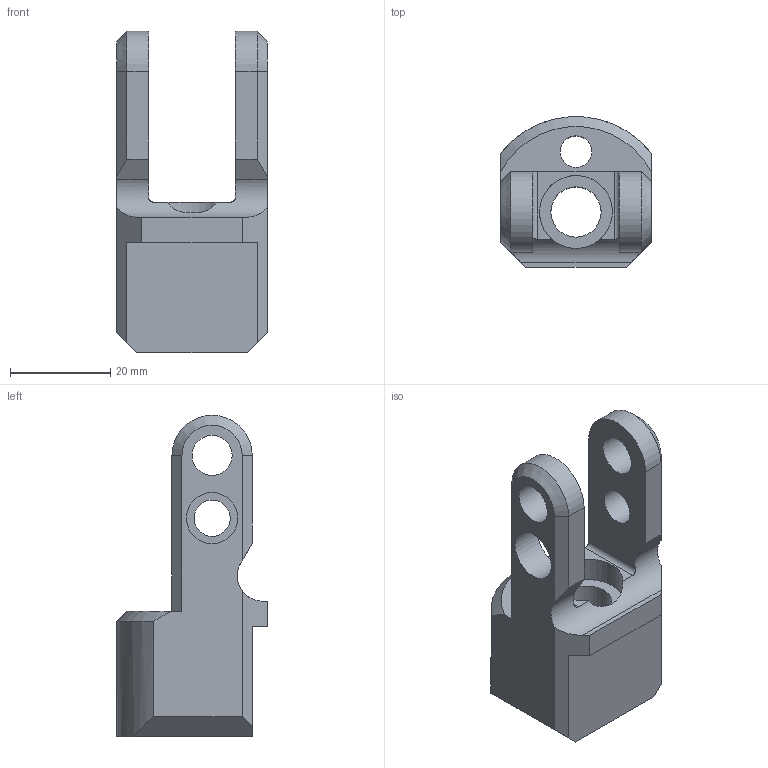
import math

import cadquery as cq


width = 30.0
half_width = width / 2
back_radius = 19.0
deck_height = 25.0
bottom_chamfer = 4.0
edge_chamfer = 2.0

arm_radius = 8.0
pivot_height = 56.0
slot_width = 17.3
slot_floor = 30.0
slot_fillet = 1.0

lip_front = 11.0
lip_bottom = 22.0
lip_top = 27.0
lip_corner_chamfer = 5.0
scoop_radius = 5.0
scoop_center_y = -10.0
scoop_ramp_angle = math.radians(30)

pivot_hole_diameter = 8.0
pin_height = 43.5
pin_hole_diameter = 7.2
pin_head_diameter = 10.2
bore_diameter = 10.0
counterbore_diameter = 14.5
counterbore_floor = 25.0
back_hole_diameter = 6.3
back_hole_y = 12.0

clearance = 1.0


def box(x_range, y_range, z_range):
    """Box spanning the given (low, high) ranges."""
    size = [high - low for low, high in (x_range, y_range, z_range)]
    return cq.Workplane("XY").box(*size, centered=False).translate((x_range[0], y_range[0], z_range[0]))


def cylinder_z(diameter, bottom, top, y=0.0):
    """Vertical cylinder on the plane x = 0."""
    return cq.Workplane("XY", origin=(0, y, bottom)).circle(diameter / 2).extrude(top - bottom)


def cylinder_x(diameter, left, right, z):
    """Cylinder parallel to X on the plane y = 0."""
    return cq.Workplane("YZ", origin=(left, 0, z)).circle(diameter / 2).extrude(right - left)


def make_base():
    """Block with a round back, a chamfered top rim, chamfered lower sides and front corners."""
    round_body = cylinder_z(2 * back_radius, 0, deck_height).faces(">Z").chamfer(edge_chamfer)
    block = box((-half_width, half_width), (-arm_radius, back_radius), (0, deck_height))
    block = block.edges("|Z and <Y").chamfer(edge_chamfer)
    block = block.faces("<Z").edges("|Y").chamfer(bottom_chamfer)
    return block.intersect(round_body)


def make_column():
    """Round-topped upright with chamfered outer edges, standing on the deck."""
    return (
        cq.Workplane("YZ", origin=(-half_width, 0, 0))
        .moveTo(-arm_radius, lip_bottom)
        .lineTo(-arm_radius, pivot_height)
        .threePointArc((0, pivot_height + arm_radius), (arm_radius, pivot_height))
        .lineTo(arm_radius, lip_bottom)
        .close()
        .extrude(width)
        .faces("<X or >X")
        .chamfer(edge_chamfer)
    )


def make_lip():
    """Front block that overhangs the base, with chamfered corners, up to the scoop center.

    The scoop later cuts it down to the lip.
    """
    block_top = lip_top + scoop_radius
    lip = box((-half_width, half_width), (-lip_front, 0), (lip_bottom, block_top))
    return lip.edges("|Z and <Y").chamfer(lip_corner_chamfer)


def make_slot():
    """Tool for the gap between the arms, with rounded floor corners."""
    slot = box(
        (-slot_width / 2, slot_width / 2),
        (-lip_front - clearance, arm_radius + clearance),
        (slot_floor, pivot_height + arm_radius + clearance),
    )
    return slot.edges("|Y and <Z").fillet(slot_fillet)


def make_scoop():
    """Tool for the round scoop above the lip, running into a tangent ramp up the arm front."""
    center_z = lip_top + scoop_radius
    ramp_y = scoop_center_y + scoop_radius * math.cos(scoop_ramp_angle)
    ramp_z = center_z + scoop_radius * math.sin(scoop_ramp_angle)
    tool_front = -lip_front - clearance
    ramp_end_z = ramp_z + (ramp_y - tool_front) / math.tan(scoop_ramp_angle)
    middle_y = scoop_center_y + scoop_radius * math.cos(math.pi / 4)
    middle_z = center_z - scoop_radius * math.sin(math.pi / 4)
    return (
        cq.Workplane("YZ", origin=(-half_width - clearance, 0, 0))
        .moveTo(tool_front, lip_top)
        .lineTo(scoop_center_y, lip_top)
        .threePointArc((middle_y, middle_z), (ramp_y, ramp_z))
        .lineTo(tool_front, ramp_end_z)
        .close()
        .extrude(width + 2 * clearance)
    )


def make_holes():
    """Tools for the vertical bores and for the two cross holes in the arms."""
    left = -half_width - clearance
    right = half_width + clearance
    bore = cylinder_z(bore_diameter, -clearance, slot_floor)
    counterbore = cylinder_z(counterbore_diameter, counterbore_floor, slot_floor + clearance)
    back_hole = cylinder_z(back_hole_diameter, -clearance, deck_height + clearance, back_hole_y)
    pivot_hole = cylinder_x(pivot_hole_diameter, left, right, pivot_height)
    pin_hole = cylinder_x(pin_hole_diameter, left, right, pin_height)
    pin_head_hole = cylinder_x(pin_head_diameter, left, 0, pin_height)
    return [bore, counterbore, back_hole, pivot_hole, pin_hole, pin_head_hole]


result = make_base().union(make_column()).union(make_lip())
for tool in [make_slot(), make_scoop(), *make_holes()]:
    result = result.cut(tool)